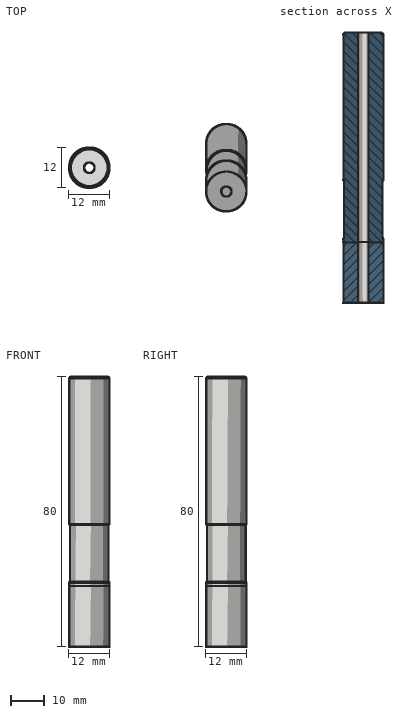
import cadquery as cq

total_length = 80.0
outer_radius = 6.0
bore_radius = 1.5

sleeve_length = 18.0

collar_length = 0.9
neck_radius = 5.8
collar_chamfer_height = 0.5
barrel_bottom = 36.3
barrel_bottom_chamfer = outer_radius - neck_radius
top_chamfer = 0.6

collar_top = sleeve_length + collar_length
neck_bottom = collar_top + collar_chamfer_height
neck_top = barrel_bottom - barrel_bottom_chamfer


def make_sleeve():
    """Bored cylinder at the lower end."""
    return cq.Workplane("XY").circle(outer_radius).circle(bore_radius).extrude(sleeve_length)


def make_shank():
    """Bored turned body, revolved from its half section in (radius, height)."""
    half_section = [
        (bore_radius, sleeve_length),
        (outer_radius, sleeve_length),
        (outer_radius, collar_top),
        (neck_radius, neck_bottom),
        (neck_radius, neck_top),
        (outer_radius, barrel_bottom),
        (outer_radius, total_length - top_chamfer),
        (outer_radius - top_chamfer, total_length),
        (bore_radius, total_length),
    ]
    return cq.Workplane("XZ").polyline(half_section).close().revolve(360, (0, 0, 0), (0, 1, 0))


sleeve = make_sleeve()
shank = make_shank()

result = cq.Compound.makeCompound([sleeve.val(), shank.val()])